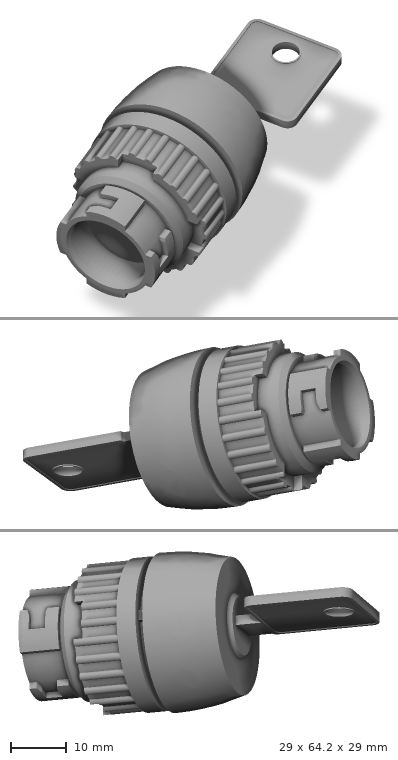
import cadquery as cq
import math


OVERALL_LENGTH = 64.2
PAD_END_Y = 7.45
BODY_START_Y = 7.95
GRIP_START_Y = 11.4
GRIP_NOTCH_Y = 13.05
FLANGE_START_Y = 19.9
FLANGE_END_Y = 23.5
KNOB_START_Y = 25.0
KNOB_END_Y = 38.2
LOCK_FACE_Y = 39.05

NOSE_DIAMETER = 18.0
BORE_DIAMETER = 15.3
BODY_DIAMETER = 22.0
GRIP_DIAMETER = 26.0
FLANGE_DIAMETER = 28.0
NECK_DIAMETER = 22.3
KNOB_DIAMETER = 29.0
KNOB_END_DIAMETER = 25.05
LOCK_BASE_DIAMETER = 12.0
LOCK_FACE_DIAMETER = 10.7

BODY_CHAMFER = 0.95
BORE_CHAMFER = 0.4
BORE_CHAMFER_LENGTH = 1.0
BORE_DEPTH = 7.05

RIB_COUNT = 25
RIB_DIAMETER = 1.55
RIB_CIRCLE_RADIUS = 12.9
NOTCH_WIDTH = 7.1

PAD_COUNT = 4
PAD_DIAMETER = 20.15
PAD_WIDTH = 7.9
SLOT_LOW_Y = 1.9
SLOT_HIGH_Y = 5.0
SLOT_LOW_LEAD = (1.35, 0.5)
SLOT_HIGH_LEAD = (0.65, 0.25)

TAB_REACH = 12.3
TAB_LENGTH = 1.0
TAB_WIDTH = 1.9

KEY_THICKNESS = 1.8
BOW_WIDTH = 18.9
BOW_BOTTOM_Y = 43.8
BOW_CORNER_RADIUS = 1.9
SHANK_WIDTH = 7.2
RIM_WIDTH = 0.6
PANEL_DEPTH = 0.2
KEY_HOLE_DIAMETER = 5.0
KEY_HOLE_RIM_DIAMETER = 5.6
KEY_HOLE_FROM_TOP = 5.1


def axial_plane(y):
    """Plane across the axis at station y, facing +Y, with its local x along -X."""
    return cq.Workplane(cq.Plane(origin=(0, y, 0), xDir=(-1, 0, 0), normal=(0, 1, 0)))


def around_axis(shape, angle):
    return shape.rotate((0, 0, 0), (0, 1, 0), angle)


def make_turned_body():
    """Nose, chamfered body, flange, neck, barrel-shaped knob and lock face."""
    nose_radius = NOSE_DIAMETER / 2
    body_radius = BODY_DIAMETER / 2
    flange_radius = FLANGE_DIAMETER / 2
    neck_radius = NECK_DIAMETER / 2
    knob_radius = KNOB_DIAMETER / 2
    knob_end_radius = KNOB_END_DIAMETER / 2

    knob_length = KNOB_END_Y - KNOB_START_Y
    knob_inset = knob_radius - knob_end_radius
    flank_radius = (knob_length**2 + knob_inset**2) / (2 * knob_inset)
    half_length = knob_length / 2
    flank_middle_radius = knob_radius - flank_radius + math.sqrt(flank_radius**2 - half_length**2)

    return (
        cq.Workplane("XY")
        .moveTo(0, 0)
        .lineTo(nose_radius, 0)
        .lineTo(nose_radius, BODY_START_Y)
        .lineTo(body_radius - BODY_CHAMFER, BODY_START_Y)
        .lineTo(body_radius, BODY_START_Y + BODY_CHAMFER)
        .lineTo(body_radius, FLANGE_START_Y)
        .lineTo(flange_radius, FLANGE_START_Y)
        .lineTo(flange_radius, FLANGE_END_Y)
        .lineTo(neck_radius, FLANGE_END_Y)
        .lineTo(neck_radius, KNOB_START_Y)
        .lineTo(knob_radius, KNOB_START_Y)
        .threePointArc(
            (flank_middle_radius, KNOB_START_Y + half_length),
            (knob_end_radius, KNOB_END_Y),
        )
        .lineTo(LOCK_BASE_DIAMETER / 2, KNOB_END_Y)
        .lineTo(LOCK_FACE_DIAMETER / 2, LOCK_FACE_Y)
        .lineTo(0, LOCK_FACE_Y)
        .close()
        .revolve(360, (0, 0, 0), (0, 1, 0))
    )


def make_bore():
    """Blind bore in the nose with a chamfered mouth."""
    bore_radius = BORE_DIAMETER / 2
    return (
        cq.Workplane("XY")
        .moveTo(0, 0)
        .lineTo(bore_radius + BORE_CHAMFER, 0)
        .lineTo(bore_radius, BORE_CHAMFER_LENGTH)
        .lineTo(bore_radius, BORE_DEPTH)
        .lineTo(0, BORE_DEPTH)
        .close()
        .revolve(360, (0, 0, 0), (0, 1, 0))
    )


def make_grip():
    """Ribbed sleeve around the body, with four notches in its front rim; one rib points to -Z."""
    grip_length = FLANGE_START_Y - GRIP_START_Y
    notch_depth = GRIP_NOTCH_Y - GRIP_START_Y
    rim = axial_plane(GRIP_START_Y)
    ribs = (
        rim.polarArray(RIB_CIRCLE_RADIUS, -90, 360, RIB_COUNT)
        .circle(RIB_DIAMETER / 2)
        .extrude(grip_length)
    )
    sleeve = rim.circle(GRIP_DIAMETER / 2).extrude(grip_length).union(ribs)
    sleeve = sleeve.cut(rim.circle(BODY_DIAMETER / 2).extrude(grip_length))
    for length_x, length_z in ((NOTCH_WIDTH, FLANGE_DIAMETER), (FLANGE_DIAMETER, NOTCH_WIDTH)):
        sleeve = sleeve.cut(rim.rect(length_x, length_z).extrude(notch_depth))
    return sleeve


def make_pad():
    """Raised pad on the top (+Z) of the nose, with a bayonet slot open towards -X."""
    edge = PAD_WIDTH / 2
    low_run, low_rise = SLOT_LOW_LEAD
    high_run, high_rise = SLOT_HIGH_LEAD
    outline = [
        (-edge, 0),
        (edge, 0),
        (edge, PAD_END_Y),
        (-edge, PAD_END_Y),
        (-edge, SLOT_HIGH_Y + high_rise),
        (-edge + high_run, SLOT_HIGH_Y),
        (0, SLOT_HIGH_Y),
        (0, SLOT_LOW_Y),
        (-edge + low_run, SLOT_LOW_Y),
        (-edge, SLOT_LOW_Y - low_rise),
    ]
    block = cq.Workplane("XY").polyline(outline).close().extrude(PAD_DIAMETER)
    ring_inner_radius = BORE_DIAMETER / 2 + BORE_CHAMFER
    ring = axial_plane(0).circle(PAD_DIAMETER / 2).circle(ring_inner_radius).extrude(PAD_END_Y)
    return block.intersect(ring)


def make_tab():
    """Small locating tab standing on the flange at the +X side of the neck."""
    base = cq.Workplane("XY", origin=(0, FLANGE_END_Y, 0))
    return base.box(TAB_REACH, TAB_LENGTH, TAB_WIDTH, centered=(False, False, True))


def make_key():
    """Key whose bow lines up with the knob at its right edge, recessed on both faces inside a rim."""
    bow_right = KNOB_DIAMETER / 2
    bow_left = bow_right - BOW_WIDTH
    bow_center_x = bow_right - BOW_WIDTH / 2
    bow_height = OVERALL_LENGTH - BOW_BOTTOM_Y
    bow_center_y = BOW_BOTTOM_Y + bow_height / 2
    corner = BOW_CORNER_RADIUS
    shank_edge = SHANK_WIDTH / 2
    step = (-shank_edge - bow_left) / 2
    half_thickness = KEY_THICKNESS / 2
    hole_y = OVERALL_LENGTH - KEY_HOLE_FROM_TOP

    key = (
        cq.Workplane("XY", origin=(0, 0, -half_thickness))
        .moveTo(shank_edge, KNOB_END_Y)
        .lineTo(shank_edge, BOW_BOTTOM_Y)
        .lineTo(bow_right - corner, BOW_BOTTOM_Y)
        .radiusArc((bow_right, BOW_BOTTOM_Y + corner), -corner)
        .lineTo(bow_right, OVERALL_LENGTH - corner)
        .radiusArc((bow_right - corner, OVERALL_LENGTH), -corner)
        .lineTo(bow_left + corner, OVERALL_LENGTH)
        .radiusArc((bow_left, OVERALL_LENGTH - corner), -corner)
        .lineTo(bow_left, BOW_BOTTOM_Y + step)
        .radiusArc((bow_left + step, BOW_BOTTOM_Y), -step)
        .radiusArc((-shank_edge, BOW_BOTTOM_Y - step), step)
        .lineTo(-shank_edge, KNOB_END_Y)
        .close()
        .extrude(KEY_THICKNESS)
    )

    panel = (
        cq.Workplane("XY", origin=(bow_center_x, bow_center_y, half_thickness - PANEL_DEPTH))
        .rect(BOW_WIDTH - 2 * RIM_WIDTH, bow_height - 2 * RIM_WIDTH)
        .extrude(PANEL_DEPTH)
        .edges("|Z")
        .fillet(corner - RIM_WIDTH)
    )
    hole_center = cq.Workplane("XY", origin=(bow_center_x, hole_y, -half_thickness))
    panel = panel.cut(hole_center.circle(KEY_HOLE_RIM_DIAMETER / 2).extrude(KEY_THICKNESS))
    hole = hole_center.circle(KEY_HOLE_DIAMETER / 2).extrude(KEY_THICKNESS)
    return key.cut(panel).cut(panel.mirror("XY")).cut(hole)


result = make_turned_body().union(make_grip())

pad = make_pad()
for index in range(PAD_COUNT):
    result = result.union(around_axis(pad, index * 360 / PAD_COUNT))

result = result.cut(make_bore()).union(make_tab()).union(make_key()).solids()